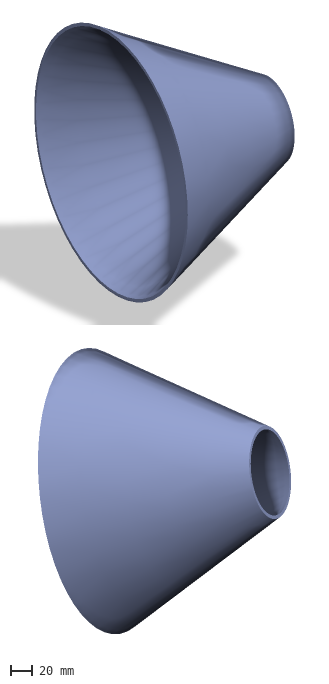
import cadquery as cq
import math

large_diameter = 273.0
small_diameter = 89.0
length = 178.0
wall_thickness = 3.0

large_radius = large_diameter / 2
small_radius = small_diameter / 2

half_angle = math.atan((large_radius - small_radius) / length)
rim_width = wall_thickness / math.cos(half_angle)

wall_section = cq.Workplane("XY").polyline(
    [
        (large_radius - rim_width, 0),
        (large_radius, 0),
        (small_radius, length),
        (small_radius - rim_width, length),
    ]
).close()

result = wall_section.revolve(360, (0, 0, 0), (0, 1, 0))